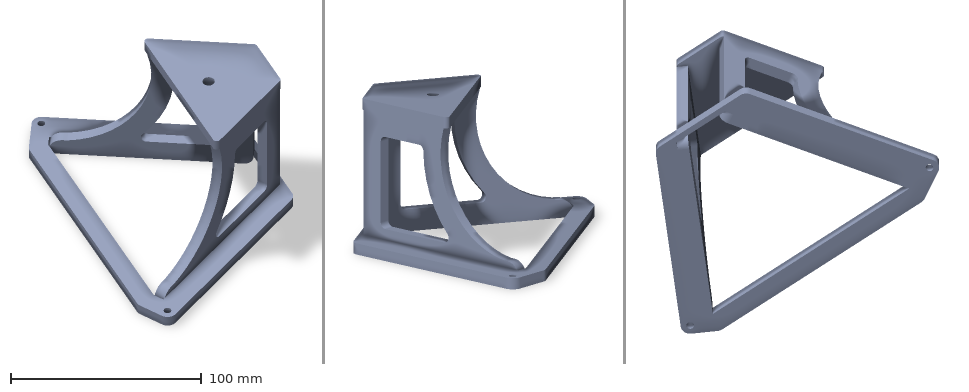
import cadquery as cq
import math

sheet = 6.0
height = 80.0
base_depth = 109.8
front_bar = 10.6
back_bar = 3.2
left_rail = 15.0
right_rail = 11.6
base_corner_radius = 5.0
screw_hole_diameter = 4.0
left_overhang = 10.0
right_overhang = 10.8

foot_half_span = 69.5
leg_length = 107.8
leg_angle = math.radians(60)
leg_curve_radius = 50.0
leg_curve_center = (4.2, 59.4)
foot_height = 9.8
foot_radius = 7.8
heel_radius = 5.0
window_margin = 12.0
window_corner_radius = 3.0
tab_length = 25.0
tab_setback = 15.3

plate_front = 55.8
plate_back = 107.8
plate_corner_radius = 2.0
plate_hole_diameter = 6.4
plate_hole_y = 73.0

base_ends = ((-1, left_rail, left_overhang), (1, right_rail, right_overhang))
plate_bottom = height - sheet
along_x, along_y = math.cos(leg_angle), math.sin(leg_angle)
foot_y = front_bar + sheet * along_x
tab_end = leg_length - tab_setback
tab_start = tab_end - tab_length


def leg_point(side, along, outward):
    """XY point given along a leg from its front end and outward from its outer face; side is -1 or 1."""
    x = foot_half_span - along * along_x + outward * along_y
    y = foot_y + along * along_y + outward * along_x
    return (side * x, y)


def leg_line_at_y(side, y, outward):
    """Point at a given Y on a line parallel to a leg's outer face."""
    along = (y - foot_y - outward * along_x) / along_y
    return leg_point(side, along, outward)


def stand_upright(profile, side):
    """Extrude a (distance along leg, height) profile inward from a leg's outer face."""
    plane = cq.Plane(
        origin=(*leg_point(side, 0, 0), 0),
        xDir=(-side * along_x, along_y, 0),
        normal=(side * along_y, along_x, 0),
    )
    up = plane.yDir.z
    return profile(cq.Workplane(plane), up).extrude(-sheet)


def curve_along(radius, z):
    """Distance along the leg at which a circle about the leg curve center reaches height z."""
    center_along, center_z = leg_curve_center
    return center_along + math.sqrt(radius ** 2 - (z - center_z) ** 2)


def curve_points(radius, z_low, z_high):
    """Start, middle and end points of an arc about the leg curve center."""
    return [(curve_along(radius, z), z) for z in (z_low, (z_low + z_high) / 2, z_high)]


def leg_outline(sketch, up):
    low, middle, high = curve_points(leg_curve_radius, foot_height, plate_bottom)
    diagonal = math.sqrt(0.5)
    foot_middle = (foot_radius * (1 - diagonal), foot_height - foot_radius * (1 - diagonal))
    heel_middle = (leg_length - heel_radius * (1 - diagonal), heel_radius * (1 - diagonal))

    def at(point):
        return (point[0], up * point[1])

    return (
        sketch.moveTo(*at((0, 0)))
        .lineTo(*at((0, foot_height - foot_radius)))
        .threePointArc(at(foot_middle), at((foot_radius, foot_height)))
        .lineTo(*at(low))
        .threePointArc(at(middle), at(high))
        .lineTo(*at((tab_start, plate_bottom)))
        .lineTo(*at((tab_start, height)))
        .lineTo(*at((tab_end, height)))
        .lineTo(*at((tab_end, plate_bottom)))
        .lineTo(*at((leg_length, plate_bottom)))
        .lineTo(*at((leg_length, heel_radius)))
        .threePointArc(at(heel_middle), at((leg_length - heel_radius, 0)))
        .close()
    )


def window_outline(sketch, up):
    bottom = window_margin
    top = plate_bottom - window_margin
    back = leg_length - window_margin
    low, middle, high = curve_points(leg_curve_radius + window_margin, bottom, top)
    return (
        sketch.moveTo(back, up * bottom)
        .lineTo(low[0], up * low[1])
        .threePointArc((middle[0], up * middle[1]), (high[0], up * high[1]))
        .lineTo(back, up * top)
        .close()
    )


def make_leg(side):
    window = stand_upright(window_outline, side)
    across = cq.Vector(along_y, side * along_x, 0)
    window = window.edges(cq.selectors.ParallelDirSelector(across)).fillet(window_corner_radius)
    return stand_upright(leg_outline, side).cut(window)


def make_base():
    outline = []
    for side, rail, overhang in base_ends:
        front_inset = (foot_y - overhang * along_y) / along_x
        half = [
            leg_line_at_y(side, base_depth, rail),
            leg_point(side, -overhang, rail),
            leg_point(side, -overhang, -front_inset),
        ]
        outline += half if side < 0 else half[::-1]
    base = cq.Workplane("XY").polyline(outline).close().extrude(sheet)
    base = base.edges("|Z").fillet(base_corner_radius)

    opening = [
        leg_point(-1, 0, -sheet),
        leg_point(-1, 0, 0),
        leg_line_at_y(-1, base_depth - back_bar, 0),
        leg_line_at_y(1, base_depth - back_bar, 0),
        leg_point(1, 0, 0),
        leg_point(1, 0, -sheet),
    ]
    base = base.cut(cq.Workplane("XY").polyline(opening).close().extrude(sheet))

    holes = [
        leg_point(side, base_corner_radius - overhang, rail - base_corner_radius)
        for side, rail, overhang in base_ends
    ]
    cutter = cq.Workplane("XY").pushPoints(holes).circle(screw_hole_diameter / 2).extrude(sheet)
    return base.cut(cutter)


def make_plate():
    outline = [
        leg_line_at_y(-1, plate_front, 0),
        leg_line_at_y(-1, plate_back, 0),
        leg_line_at_y(1, plate_back, 0),
        leg_line_at_y(1, plate_front, 0),
    ]
    level = cq.Workplane("XY", origin=(0, 0, plate_bottom))
    plate = level.polyline(outline).close().extrude(sheet)
    plate = plate.edges("|Z").fillet(plate_corner_radius)
    plate = plate.cut(level.center(0, plate_hole_y).circle(plate_hole_diameter / 2).extrude(sheet))
    for side in (-1, 1):
        notch = [
            leg_point(side, tab_start, 0),
            leg_point(side, tab_end, 0),
            leg_point(side, tab_end, -sheet),
            leg_point(side, tab_start, -sheet),
        ]
        plate = plate.cut(level.polyline(notch).close().extrude(sheet))
    return plate


base = make_base()
plate = make_plate()
legs = [make_leg(side) for side in (-1, 1)]

result = cq.Compound.makeCompound([base.val(), plate.val(), *[leg.val() for leg in legs]])